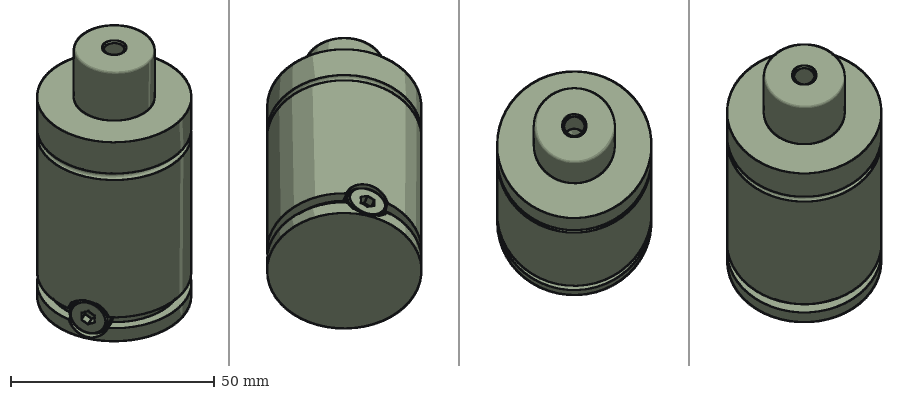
import cadquery as cq
import math

TOTAL_HEIGHT = 75.7
BODY_DIAMETER = 38.0
BODY_HEIGHT = 60.7
BODY_RADIUS = BODY_DIAMETER / 2

ROD_DIAMETER = 20.0
ROD_EDGE_FILLET = 1.0

HOLE_MOUTH_DIAMETER = 6.0
HOLE_DIAMETER = 5.0
HOLE_DEPTH = 10.0
DRILL_TIP_ANGLE = 118.0

RING_GROOVE_Z = 50.2
RING_GROOVE_RADIUS = 1.0

CLAMP_GROOVE_BOTTOM = 4.0
CLAMP_GROOVE_TOP = 7.35
CLAMP_GROOVE_FLOOR_DIAMETER = 33.0

PLUG_Z = 6.0
PLUG_BORE_DIAMETER = 11.0
PLUG_DIAMETER = 10.0
PLUG_CHAMFER = 0.45
PLUG_FACE_OFFSET = 18.5
PLUG_BORE_FLOOR_OFFSET = 15.5
PLUG_LENGTH = PLUG_FACE_OFFSET - PLUG_BORE_FLOOR_OFFSET
HEX_ACROSS_FLATS = 3.5
HEX_DEPTH = 2.5


def make_cylinder():
    """Body with both ring grooves, and the piston rod on top."""
    body = cq.Workplane("XY").circle(BODY_RADIUS).extrude(BODY_HEIGHT)
    ring_groove = (
        cq.Workplane("XZ")
        .center(BODY_RADIUS, RING_GROOVE_Z)
        .circle(RING_GROOVE_RADIUS)
        .revolve(360, (-BODY_RADIUS, 0, 0), (-BODY_RADIUS, 1, 0))
    )
    clamp_groove = (
        cq.Workplane("XY", origin=(0, 0, CLAMP_GROOVE_BOTTOM))
        .circle(BODY_DIAMETER)
        .circle(CLAMP_GROOVE_FLOOR_DIAMETER / 2)
        .extrude(CLAMP_GROOVE_TOP - CLAMP_GROOVE_BOTTOM)
    )
    rod = (
        cq.Workplane("XY")
        .circle(ROD_DIAMETER / 2)
        .extrude(TOTAL_HEIGHT)
        .faces(">Z")
        .edges()
        .fillet(ROD_EDGE_FILLET)
    )
    return body.cut(ring_groove).cut(clamp_groove).union(rod)


def make_rod_hole():
    """Blind drilled hole with a conical tip and a 45-degree mouth."""
    hole_radius = HOLE_DIAMETER / 2
    mouth_radius = HOLE_MOUTH_DIAMETER / 2
    mouth_depth = mouth_radius - hole_radius
    floor_z = TOTAL_HEIGHT - HOLE_DEPTH
    tip_depth = hole_radius / math.tan(math.radians(DRILL_TIP_ANGLE / 2))
    return (
        cq.Workplane("XZ")
        .moveTo(0, TOTAL_HEIGHT)
        .lineTo(mouth_radius, TOTAL_HEIGHT)
        .lineTo(hole_radius, TOTAL_HEIGHT - mouth_depth)
        .lineTo(hole_radius, floor_z)
        .lineTo(0, floor_z - tip_depth)
        .close()
        .revolve(360, (0, 0, 0), (0, 1, 0))
    )


def make_plug():
    """Chamfered filler plug with a hexagon socket, two corners on the vertical."""
    plug = (
        cq.Workplane("XZ", origin=(0, -PLUG_BORE_FLOOR_OFFSET, PLUG_Z))
        .circle(PLUG_DIAMETER / 2)
        .extrude(PLUG_LENGTH)
        .faces("<Y")
        .edges()
        .chamfer(PLUG_CHAMFER)
    )
    hex_corner_diameter = HEX_ACROSS_FLATS / math.cos(math.pi / 6)
    socket = (
        cq.Workplane("XZ", origin=(0, -PLUG_FACE_OFFSET + HEX_DEPTH, PLUG_Z))
        .transformed(rotate=(0, 0, 30))
        .polygon(6, hex_corner_diameter)
        .extrude(HEX_DEPTH)
    )
    return plug.cut(socket)


def make_plug_bore():
    """Bore from the plug's seat out through the body wall."""
    return (
        cq.Workplane("XZ", origin=(0, -PLUG_BORE_FLOOR_OFFSET, PLUG_Z))
        .circle(PLUG_BORE_DIAMETER / 2)
        .extrude(BODY_RADIUS)
    )


body = make_cylinder().cut(make_rod_hole()).cut(make_plug_bore())
result = body.union(make_plug())